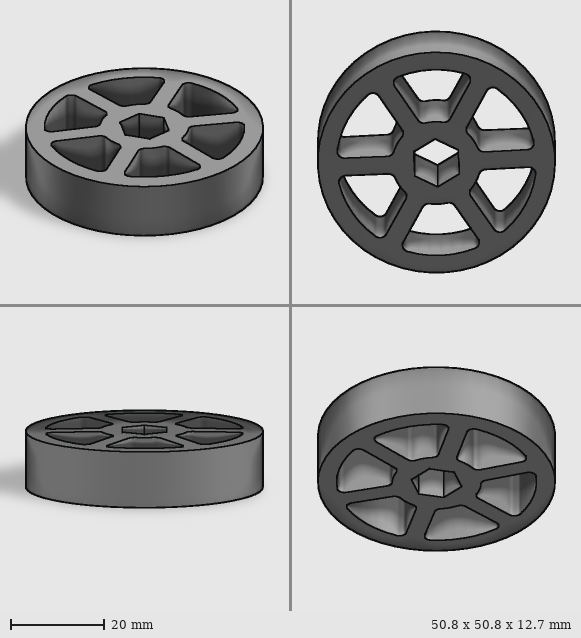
import cadquery as cq
import math

wheel_diameter = 50.8
hub_thickness = 12.7
hub_diameter = 19.0
face_slope_degrees = 1.0
hex_across_flats = 9.55
spoke_count = 6
hex_side_count = 6
spoke_width = 4.05
pocket_outer_radius = 21.4
pocket_corner_radius = 1.5

wheel_radius = wheel_diameter / 2
hub_radius = hub_diameter / 2
hub_half_thickness = hub_thickness / 2
rim_drop = (wheel_radius - hub_radius) * math.tan(math.radians(face_slope_degrees))
rim_half_thickness = hub_half_thickness - rim_drop
spoke_angle = 360 / spoke_count


def make_wheel_body():
    """Disc with a flat hub and faces that slope gently down to the rim."""
    return (
        cq.Workplane("XZ")
        .moveTo(0, -hub_half_thickness)
        .lineTo(hub_radius, -hub_half_thickness)
        .lineTo(wheel_radius, -rim_half_thickness)
        .lineTo(wheel_radius, rim_half_thickness)
        .lineTo(hub_radius, hub_half_thickness)
        .lineTo(0, hub_half_thickness)
        .close()
        .revolve(360, (0, 0, 0), (0, 1, 0))
    )


def spoke_edge_point(radius):
    """Point at a radius on the upper edge of the spoke that lies along +X."""
    half_width = spoke_width / 2
    return math.sqrt(radius**2 - half_width**2), half_width


def on_ring(radius, angle_degrees):
    """Point at a radius and an angle from +X."""
    angle = math.radians(angle_degrees)
    return radius * math.cos(angle), radius * math.sin(angle)


def across_pocket(point):
    """Mirror a point about the centre line of the first pocket."""
    x, y = point
    angle = math.radians(spoke_angle)
    return x * math.cos(angle) + y * math.sin(angle), x * math.sin(angle) - y * math.cos(angle)


def make_pocket():
    """Through pocket between two neighbouring spokes, with rounded corners."""
    inner_start = spoke_edge_point(hub_radius)
    outer_start = spoke_edge_point(pocket_outer_radius)
    middle_angle = spoke_angle / 2
    return (
        cq.Workplane("XY")
        .workplane(offset=-hub_half_thickness)
        .moveTo(*inner_start)
        .lineTo(*outer_start)
        .threePointArc(on_ring(pocket_outer_radius, middle_angle), across_pocket(outer_start))
        .lineTo(*across_pocket(inner_start))
        .threePointArc(on_ring(hub_radius, middle_angle), inner_start)
        .close()
        .extrude(hub_thickness)
        .edges("|Z")
        .fillet(pocket_corner_radius)
    )


def make_hex_bore():
    """Hexagonal through bore with corners pointing along +Y and -Y."""
    corner_diameter = hex_across_flats / math.cos(math.pi / hex_side_count)
    return (
        cq.Workplane("XY")
        .workplane(offset=-hub_half_thickness)
        .polygon(hex_side_count, corner_diameter)
        .extrude(hub_thickness)
        .rotate((0, 0, 0), (0, 0, 1), 180 / hex_side_count)
    )


result = make_wheel_body().cut(make_hex_bore())
pocket = make_pocket()
for index in range(spoke_count):
    result = result.cut(pocket.rotate((0, 0, 0), (0, 0, 1), index * spoke_angle))